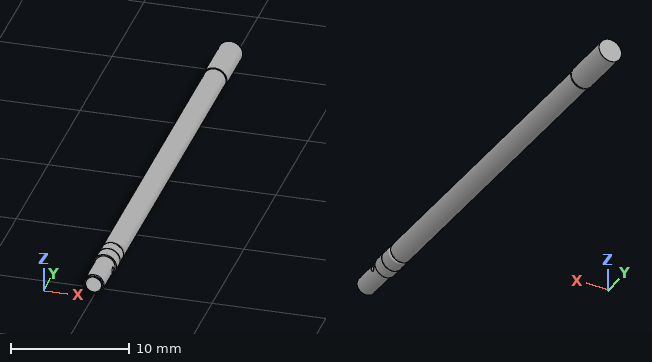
import cadquery as cq
import math

sleeve_diameter = 2.2
body_diameter = 2.0
collar_diameter = 2.05
tip_diameter = 1.8

total_length = 42.85
tip_length = 3.5
collar_end = 4.65
groove_position = 6
sleeve_length = 4.95
sleeve_start = total_length - sleeve_length

tip_chamfer = 0.1
groove_floor_width = 0.1
groove_lip_radius = 0.2

bore_diameter = 1.4
bore_depth = 2.8
drill_point_angle = 118

inspection_diameter = 0.5
inspection_position = bore_depth + 0.1

front_y = -total_length / 2


def tip_end_plane():
    """Workplane whose local x is the radius and local y the distance from the tip end."""
    return cq.Workplane("XY", origin=(0, front_y, 0))


def revolve_about_y(profile):
    return profile.close().revolve(360, (0, 0, 0), (0, 1, 0))


def make_pin():
    """Stepped pin, with a narrow flat-floored groove with rounded lips on the body."""
    tip_radius = tip_diameter / 2
    collar_radius = collar_diameter / 2
    body_radius = body_diameter / 2
    sleeve_radius = sleeve_diameter / 2
    floor_start = groove_position - groove_floor_width / 2
    floor_end = groove_position + groove_floor_width / 2
    groove_radius = body_radius - groove_lip_radius
    arc_rise = groove_lip_radius * math.sin(math.radians(45))
    profile = (
        tip_end_plane()
        .lineTo(tip_radius - tip_chamfer, 0)
        .lineTo(tip_radius, tip_chamfer)
        .lineTo(tip_radius, tip_length)
        .lineTo(collar_radius, tip_length)
        .lineTo(collar_radius, collar_end)
        .lineTo(body_radius, collar_end)
        .lineTo(body_radius, floor_start - groove_lip_radius)
        .threePointArc(
            (groove_radius + arc_rise, floor_start - groove_lip_radius + arc_rise),
            (groove_radius, floor_start),
        )
        .lineTo(groove_radius, floor_end)
        .threePointArc(
            (groove_radius + arc_rise, floor_end + groove_lip_radius - arc_rise),
            (body_radius, floor_end + groove_lip_radius),
        )
        .lineTo(body_radius, sleeve_start)
        .lineTo(sleeve_radius, sleeve_start)
        .lineTo(sleeve_radius, total_length)
        .lineTo(0, total_length)
    )
    return revolve_about_y(profile)


def make_bore():
    bore_radius = bore_diameter / 2
    point_length = bore_radius / math.tan(math.radians(drill_point_angle / 2))
    profile = (
        tip_end_plane()
        .lineTo(bore_radius, 0)
        .lineTo(bore_radius, bore_depth)
        .lineTo(0, bore_depth + point_length)
    )
    return revolve_about_y(profile)


def make_inspection_hole():
    """Cutter running from the pin axis out through the +X side."""
    hole_plane = cq.Workplane("YZ", origin=(0, front_y + inspection_position, 0))
    return hole_plane.circle(inspection_diameter / 2).extrude(tip_diameter)


result = make_pin().cut(make_bore()).cut(make_inspection_hole())